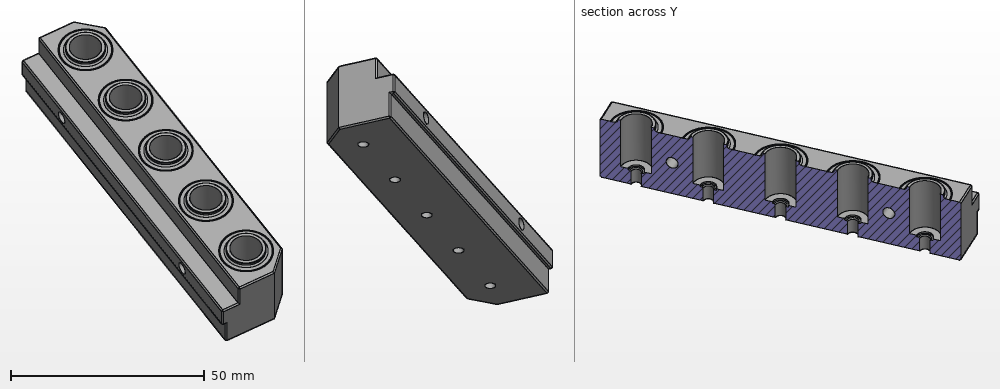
import cadquery as cq

length = 100.0
depth = 21.8
height = 20.0
body_height = 18.9
corner_cut = 6.0
edge_chamfer = 0.4

upper_depth = 16.8
lower_depth = 20.7
rail_top = 12.9
rail_bottom = 7.1

cross_hole_diameter = 3.2
cross_hole_spacing = 60.0
cross_hole_z = (rail_top + rail_bottom) / 2

socket_count = 5
socket_pitch = 20.0
socket_from_back = 8.5
groove_outer_diameter = 14.2
groove_inner_diameter = 13.5
groove_depth = 0.2
collar_base_diameter = 11.4
collar_diameter = 10.4
collar_top_diameter = 10.1
collar_flare_height = 0.4
bore_diameter = 8.4
bore_floor_z = 5.0
pilot_diameter = 2.8
pilot_neck_diameter = 3.4
pilot_counterbore_diameter = 4.4
pilot_counterbore_depth = 0.5

back_y = depth / 2
front_y = -depth / 2
upper_front_y = back_y - upper_depth
lower_front_y = back_y - lower_depth
socket_y = back_y - socket_from_back
tolerance = 0.001


def is_sharp_outer_edge(edge):
    """True for the edges that get the small chamfer."""
    center = edge.Center()
    box = edge.BoundingBox()
    along_x = box.ylen < tolerance and box.zlen < tolerance
    along_z = box.xlen < tolerance and box.ylen < tolerance
    at_upper_corner = abs(center.y - upper_front_y) < tolerance and abs(center.z - rail_top) < tolerance
    at_lower_corner = abs(center.y - lower_front_y) < tolerance and abs(center.z - rail_bottom) < tolerance
    inner_corner = along_x and (at_upper_corner or at_lower_corner)
    beside_corner_cut = along_z and center.y > upper_front_y
    return not (inner_corner or beside_corner_cut)


def make_body():
    profile = [
        (back_y, 0),
        (back_y, body_height),
        (upper_front_y, body_height),
        (upper_front_y, rail_top),
        (front_y, rail_top),
        (front_y, rail_bottom),
        (lower_front_y, rail_bottom),
        (lower_front_y, 0),
    ]
    block = cq.Workplane("YZ").polyline(profile).close().extrude(length / 2, both=True)
    block = block.edges("|Z and >Y").chamfer(corner_cut)
    sharp_edges = [edge for edge in block.edges().vals() if is_sharp_outer_edge(edge)]
    return block.newObject(sharp_edges).chamfer(edge_chamfer)


def revolve_profile(points):
    """Turn (radius, z) points about the Z axis."""
    return cq.Workplane("XZ").polyline(points).close().revolve(360, (0, 0), (0, 1))


def make_groove():
    """V-shaped ring that sets the socket flange apart from the block."""
    middle_radius = (groove_outer_diameter + groove_inner_diameter) / 4
    return revolve_profile([
        (groove_inner_diameter / 2, body_height),
        (middle_radius, body_height - groove_depth),
        (groove_outer_diameter / 2, body_height),
    ])


def make_collar():
    """Raised rim with a flared foot and a chamfered top edge."""
    top_chamfer = (collar_diameter - collar_top_diameter) / 2
    return revolve_profile([
        (0, body_height),
        (collar_base_diameter / 2, body_height),
        (collar_diameter / 2, body_height + collar_flare_height),
        (collar_diameter / 2, height - top_chamfer),
        (collar_top_diameter / 2, height),
        (0, height),
    ])


def make_bore():
    """Blind socket bore with a stepped pilot hole running through the underside."""
    counterbore_z = bore_floor_z - pilot_counterbore_depth
    countersink_depth = (pilot_neck_diameter - pilot_diameter) / 2
    return revolve_profile([
        (0, 0),
        (pilot_diameter / 2, 0),
        (pilot_diameter / 2, counterbore_z - countersink_depth),
        (pilot_neck_diameter / 2, counterbore_z),
        (pilot_counterbore_diameter / 2, counterbore_z),
        (pilot_counterbore_diameter / 2, bore_floor_z),
        (bore_diameter / 2, bore_floor_z),
        (bore_diameter / 2, height),
        (0, height),
    ])


def add_sockets(body):
    groove = make_groove()
    collar = make_collar()
    bore = make_bore()
    for index in range(socket_count):
        place = ((index - (socket_count - 1) / 2) * socket_pitch, socket_y, 0)
        body = body.cut(groove.translate(place))
        body = body.union(collar.translate(place))
        body = body.cut(bore.translate(place))
    return body


def cut_cross_holes(body):
    for x in (-cross_hole_spacing / 2, cross_hole_spacing / 2):
        hole = (
            cq.Workplane("XZ")
            .center(x, cross_hole_z)
            .circle(cross_hole_diameter / 2)
            .extrude(depth, both=True)
        )
        body = body.cut(hole)
    return body


result = cut_cross_holes(add_sockets(make_body()))